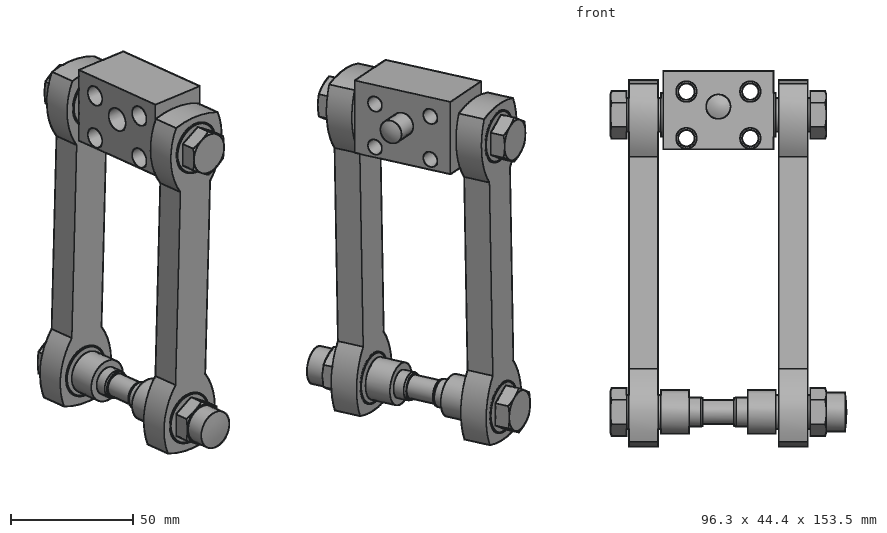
import cadquery as cq
import math


UPPER_AXIS_Y = 0.0
UPPER_AXIS_Z = 135.5
LOWER_AXIS_Y = -3.8
LOWER_AXIS_Z = 14.3

BLOCK_WIDTH = 45.1
BLOCK_HEIGHT = 32.0
BLOCK_TOP_Z = 153.5
BLOCK_FRONT_Y = -9.7
BLOCK_BACK_Y = 15.5
BOLT_SPACING_X = 26.1
BOLT_SPACING_Z = 19.0
BOLT_HOLE_DIAMETER = 6.6
BOLT_COUNTERBORE_DIAMETER = 8.5

PIN_DIAMETER = 10.0
PIN_Z = 138.9
PIN_PROJECTION = 10.7
PIN_DOME_HEIGHT = 1.2
PIN_RECESS = 12.3

ARM_INNER_X = 24.5
ARM_THICKNESS = 12.0
SHANK_HALF_WIDTH = 8.5
SHANK_END = 17.3
EYE_HALF_WIDTH = 14.4
EYE_CORNER_HALF_WIDTH = 11.8
EYE_CORNER = 12.5
EYE_END = 14.3

JOURNAL_DIAMETER = 22.0
JOURNAL_CHAMFER = 0.5
NECK_DIAMETER = 14.0
COLLAR_DIAMETER = 18.0
COLLAR_OUTER_X = 23.5
COLLAR_INNER_X = 12.0
HEX_INNER_X = 37.5
HEX_OUTER_X = 44.0
HEX_ACROSS_FLATS = 17.0
HEX_CHAMFER_ANGLE = 20.0

SHOULDER_DIAMETER = 12.0
SHOULDER_INNER_X = 6.3
SHOULDER_CHAMFER_LENGTH = 0.9
SHOULDER_CHAMFER_REACH = 0.3
SHAFT_DIAMETER = 10.0
STUB_DIAMETER = 16.0
STUB_TIP_X = 52.3
STUB_DOME_HEIGHT = 0.6


ARM_OUTER_X = ARM_INNER_X + ARM_THICKNESS
BLOCK_DEPTH = BLOCK_BACK_Y - BLOCK_FRONT_Y
BLOCK_HALF_WIDTH = BLOCK_WIDTH / 2
BLOCK_MID_Y = (BLOCK_FRONT_Y + BLOCK_BACK_Y) / 2
BLOCK_MID_Z = BLOCK_TOP_Z - BLOCK_HEIGHT / 2
PIVOT_DISTANCE = math.hypot(UPPER_AXIS_Y - LOWER_AXIS_Y, UPPER_AXIS_Z - LOWER_AXIS_Z)
ARM_TILT = math.degrees(math.atan2(UPPER_AXIS_Y - LOWER_AXIS_Y, UPPER_AXIS_Z - LOWER_AXIS_Z))



def disc(diameter, x_start, x_end):
    """Cylinder along X, centred on the X axis."""
    return cq.Workplane("YZ", origin=(x_start, 0, 0)).circle(diameter / 2).extrude(x_end - x_start)


def domed_rod(diameter, start, tip, dome_height, start_dome_height=0):
    """Rod along Y, centred on the Y axis, with a spherical dome at its tip and optionally at its start."""
    radius = diameter / 2

    def dome_middle(height):
        """Radius and height of the point halfway along a dome's arc; height is measured from the rim."""
        sphere_radius = (radius**2 + height**2) / (2 * height)
        half_angle = math.asin(radius / sphere_radius) / 2
        return sphere_radius * math.sin(half_angle), height - sphere_radius * (1 - math.cos(half_angle))

    profile = cq.Workplane("XY").moveTo(0, start)
    start_rim = start + start_dome_height
    if start_dome_height > 0:
        middle_radius, middle_height = dome_middle(start_dome_height)
        profile = profile.threePointArc((middle_radius, start_rim - middle_height), (radius, start_rim))
    else:
        profile = profile.lineTo(radius, start_rim)
    tip_rim = tip - dome_height
    middle_radius, middle_height = dome_middle(dome_height)
    profile = profile.lineTo(radius, tip_rim)
    profile = profile.threePointArc((middle_radius, tip_rim + middle_height), (0, tip))
    return profile.close().revolve(360, (0, 0, 0), (0, 1, 0))


def hex_head():
    """Hexagon on the +X side with corners up and down, its outer face chamfered to the flats."""
    length = HEX_OUTER_X - HEX_INNER_X
    corner_diameter = HEX_ACROSS_FLATS / math.cos(math.radians(30))
    chamfer_reach = (corner_diameter - HEX_ACROSS_FLATS) / 2
    chamfer_depth = chamfer_reach * math.tan(math.radians(HEX_CHAMFER_ANGLE))
    prism = (
        cq.Workplane("YZ", origin=(HEX_INNER_X, 0, 0))
        .transformed(rotate=(0, 0, 90))
        .polygon(6, corner_diameter)
        .extrude(length)
    )
    envelope = disc(corner_diameter, HEX_INNER_X, HEX_OUTER_X).faces(">X").chamfer(chamfer_depth, chamfer_reach)
    return prism.intersect(envelope)


def arm_pivot(collar_start_x):
    """Collar, neck, bearing journal and hexagon carrying one arm on the +X side."""
    journal = disc(JOURNAL_DIAMETER, ARM_INNER_X, ARM_OUTER_X).faces("<X or >X").chamfer(JOURNAL_CHAMFER)
    return (
        disc(COLLAR_DIAMETER, collar_start_x, COLLAR_OUTER_X)
        .union(disc(NECK_DIAMETER, COLLAR_OUTER_X, HEX_INNER_X))
        .union(journal)
        .union(hex_head())
    )


def both_sides(shape):
    """The shape joined with its mirror image across the middle plane."""
    return shape.union(shape.mirror("YZ"))



def make_block():
    """Carrier block with four counterbored holes, a pin hole and a pivot on either side."""
    block = cq.Workplane("XY").box(BLOCK_WIDTH, BLOCK_DEPTH, BLOCK_HEIGHT)
    block = block.translate((0, BLOCK_MID_Y, BLOCK_MID_Z))

    pivot = arm_pivot(BLOCK_HALF_WIDTH).translate((0, UPPER_AXIS_Y, UPPER_AXIS_Z))
    block = block.union(both_sides(pivot))

    front = cq.Workplane("XZ", origin=(0, BLOCK_FRONT_Y, UPPER_AXIS_Z))
    bolt_points = front.rarray(BOLT_SPACING_X, BOLT_SPACING_Z, 2, 2)
    bolt_holes = bolt_points.circle(BOLT_HOLE_DIAMETER / 2).extrude(-BLOCK_DEPTH)
    counterbores = bolt_points.circle(BOLT_COUNTERBORE_DIAMETER / 2).extrude(-BLOCK_DEPTH / 2)

    pin_front = cq.Workplane("XZ", origin=(0, BLOCK_FRONT_Y, PIN_Z))
    pin_hole = pin_front.circle(PIN_DIAMETER / 2).extrude(-BLOCK_DEPTH)
    return block.cut(bolt_holes).cut(counterbores).cut(pin_hole)


def make_pin():
    """Pin domed at both ends, recessed at the front and projecting at the back."""
    start = BLOCK_FRONT_Y + PIN_RECESS
    tip = BLOCK_BACK_Y + PIN_PROJECTION
    return domed_rod(PIN_DIAMETER, start, tip, PIN_DOME_HEIGHT, PIN_DOME_HEIGHT).translate((0, 0, PIN_Z))


def make_arm(inner_x):
    """Straight arm with a barrel-shaped eye at each pivot."""
    top = PIVOT_DISTANCE
    arm = (
        cq.Workplane("YZ")
        .moveTo(SHANK_HALF_WIDTH, SHANK_END)
        .lineTo(SHANK_HALF_WIDTH, top - SHANK_END)
        .threePointArc((EYE_HALF_WIDTH, top), (EYE_CORNER_HALF_WIDTH, top + EYE_CORNER))
        .threePointArc((0, top + EYE_END), (-EYE_CORNER_HALF_WIDTH, top + EYE_CORNER))
        .threePointArc((-EYE_HALF_WIDTH, top), (-SHANK_HALF_WIDTH, top - SHANK_END))
        .lineTo(-SHANK_HALF_WIDTH, SHANK_END)
        .threePointArc((-EYE_HALF_WIDTH, 0), (-EYE_CORNER_HALF_WIDTH, -EYE_CORNER))
        .threePointArc((0, -EYE_END), (EYE_CORNER_HALF_WIDTH, -EYE_CORNER))
        .threePointArc((EYE_HALF_WIDTH, 0), (SHANK_HALF_WIDTH, SHANK_END))
        .close()
        .extrude(ARM_THICKNESS)
    )
    for pivot_height in (0, PIVOT_DISTANCE):
        arm = arm.cut(disc(JOURNAL_DIAMETER, 0, ARM_THICKNESS).translate((0, 0, pivot_height)))
    arm = arm.rotate((0, 0, 0), (1, 0, 0), -ARM_TILT)
    return arm.translate((inner_x, LOWER_AXIS_Y, LOWER_AXIS_Z))


def make_lower_shaft():
    """Stepped shaft joining the lower pivots, with a domed stub beyond the +X hexagon."""
    shoulder = disc(SHOULDER_DIAMETER, SHOULDER_INNER_X, COLLAR_INNER_X)
    shoulder = shoulder.faces("<X").chamfer(SHOULDER_CHAMFER_LENGTH, SHOULDER_CHAMFER_REACH)
    stub = domed_rod(STUB_DIAMETER, HEX_OUTER_X, STUB_TIP_X, STUB_DOME_HEIGHT)
    stub = stub.rotate((0, 0, 0), (0, 0, 1), -90)
    shaft = (
        both_sides(arm_pivot(COLLAR_INNER_X).union(shoulder))
        .union(disc(SHAFT_DIAMETER, -COLLAR_INNER_X, COLLAR_INNER_X))
        .union(stub)
    )
    return shaft.translate((0, LOWER_AXIS_Y, LOWER_AXIS_Z))


block = make_block()
pin = make_pin()
lower_shaft = make_lower_shaft()
arms = [make_arm(inner_x) for inner_x in (-ARM_OUTER_X, ARM_INNER_X)]

result = cq.Compound.makeCompound(
    [block.val(), pin.val(), lower_shaft.val(), *[arm.val() for arm in arms]]
)